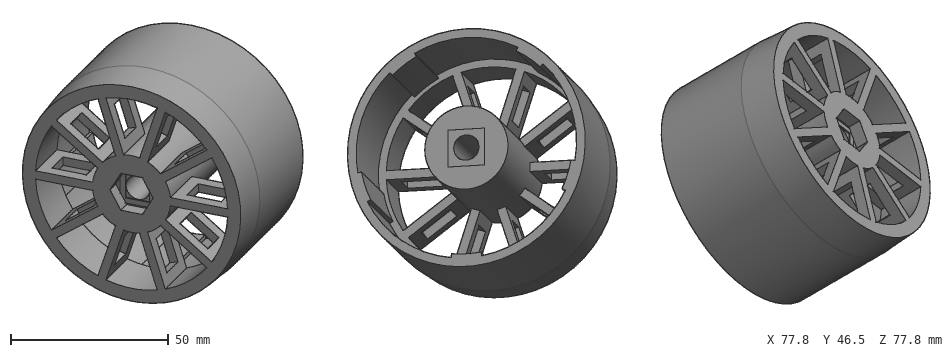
import cadquery as cq
import math

OUTER_D = 77.8
WIDTH = 46.5
FRONT_D = 76.1
TAPER_LENGTH = 12.9
RIM_INNER_D = 66.9
HUB_D = 27.2

WEB_COUNT = 10
WEB_THICKNESS = 2.95
WEB_WIDTH = 16.6
WINDOW_MARGIN = 4.0

CAVITY_D = 72.05
RIB_COUNT = 5
RIB_ANGLE = 16
RIB_INNER_D = 69.55

HEX_ACROSS_CORNERS = 15.0
HEX_DEPTH = 4.5

INSERT_SIDE = 12.05
RECESS_SIDE = 8.4
RECESS_DEPTH = 0.5
BORE_D = 8.25


def section_at(y):
    """Workplane across the wheel axis at y, with its normal along +Y."""
    return cq.Workplane(cq.Plane(origin=(0, y, 0), xDir=(1, 0, 0), normal=(0, 1, 0)))


def make_rim():
    """Ring with a straight tread and a slight taper toward the front."""
    inner_r = RIM_INNER_D / 2
    outer_r = OUTER_D / 2
    profile = (
        cq.Workplane("YZ")
        .moveTo(0, inner_r)
        .lineTo(0, FRONT_D / 2)
        .lineTo(TAPER_LENGTH, outer_r)
        .lineTo(WIDTH, outer_r)
        .lineTo(WIDTH, inner_r)
        .close()
    )
    return profile.revolve(360, (0, 0, 0), (1, 0, 0))


def make_web(angle):
    """Flat radial web with a rectangular window through it."""
    hub_r = HUB_D / 2
    rim_r = RIM_INNER_D / 2
    overlap = WEB_THICKNESS / 2
    start = hub_r - overlap
    end = rim_r + overlap
    web = cq.Workplane("XY").box(end - start, WEB_WIDTH, WEB_THICKNESS, centered=(False, False, True))
    window_span = rim_r - hub_r - 2 * WINDOW_MARGIN
    window_length = WEB_WIDTH - 2 * WINDOW_MARGIN
    window = (
        cq.Workplane("XY")
        .box(window_span, window_length, WEB_THICKNESS, centered=(False, False, True))
        .translate((hub_r + WINDOW_MARGIN - start, WINDOW_MARGIN, 0))
    )
    return web.cut(window).translate((start, 0, 0)).rotate((0, 0, 0), (0, 1, 0), angle)


def make_cavity():
    """Space inside the rim behind the webs, leaving ribs along the rim wall."""
    length = WIDTH - WEB_WIDTH
    cavity = section_at(WEB_WIDTH).circle(CAVITY_D / 2).extrude(length)
    inner_ring = section_at(WEB_WIDTH).circle(RIB_INNER_D / 2).extrude(length)
    half_angle = math.radians(RIB_ANGLE / 2)
    reach = OUTER_D / 2
    half_width = reach * math.tan(half_angle)
    wedge = (
        cq.Workplane("XZ", origin=(0, WIDTH, 0))
        .polyline([(0, 0), (-half_width, -reach), (half_width, -reach)])
        .close()
        .extrude(length)
    )
    rib = wedge.cut(inner_ring)
    for index in range(RIB_COUNT):
        cavity = cavity.cut(rib.rotate((0, 0, 0), (0, 1, 0), index * 360 / RIB_COUNT))
    return cavity


def make_wheel():
    """Rim, hub and webs as one solid, with the hub opened for the insert."""
    wheel = make_rim().cut(make_cavity()).union(section_at(0).circle(HUB_D / 2).extrude(WIDTH))
    for index in range(WEB_COUNT):
        wheel = wheel.union(make_web(index * 360 / WEB_COUNT))
    hex_pocket = section_at(0).polygon(6, HEX_ACROSS_CORNERS).extrude(HEX_DEPTH)
    insert_seat = section_at(HEX_DEPTH).rect(INSERT_SIDE, INSERT_SIDE).extrude(WIDTH - HEX_DEPTH)
    return wheel.cut(hex_pocket).cut(insert_seat)


def make_insert():
    """Square sleeve from the hex pocket floor to the back of the wheel."""
    length = WIDTH - HEX_DEPTH
    sleeve = section_at(HEX_DEPTH).rect(INSERT_SIDE, INSERT_SIDE).circle(BORE_D / 2).extrude(length)
    recess = section_at(HEX_DEPTH).rect(RECESS_SIDE, RECESS_SIDE).extrude(RECESS_DEPTH)
    return sleeve.cut(recess)


wheel = make_wheel()
insert = make_insert()

result = cq.Compound.makeCompound([wheel.val(), insert.val()])